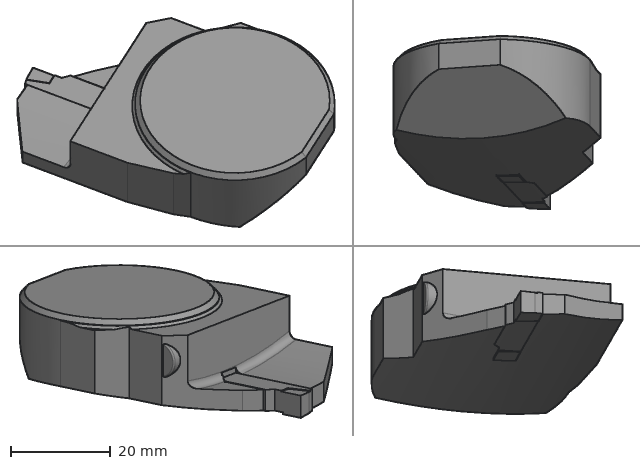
import cadquery as cq
import math

disc_radius = 20.0
disc_flat_x = 19.0
disc_chamfer = 1.0
top_z = 17.95
block_top_z = 16.2
flare_radius = 20.6
flare_top_z = 16.8

front_y = -22.8
nose_x = -44.1
nose_side_y = -9.1
nose_corner_x = -36.15
front_end_x = -12.8
taper_end = (-3.3, -21.2)
corner_x = -8.5
shoulder_y = 15.0
shoulder_x = -21.6
flank_kink = (-33.85, 4.5)

underside_radius = 67.6
rear_cut_z = 11.6
wall_x = -25.5
shelf_z = 4.35
shelf_radius = 87.8
shelf_fillet = 1.55

boss_radius = 3.8
boss_x = -20.65
boss_z = 11.0
boss_end_y = 14.8
boss_length = 5.1
boss_edge_fillet = 0.3

blade_tip_x = -45.1
blade_corner = (-45.0, -2.8)
blade_heel_x = -44.6
blade_end_x = -20.2
blade_right_y = 0.1
blade_left_y = -4.55
blade_top_z = 4.5
blade_tail_z = 5.65
blade_foot_z = -0.4
bulge_start_x = -38.7
bulge_end_x = -25.9
bulge_depth = 1.35
foot_length = 4.5
chip_depth = 0.2
chip_length = 4.8
chip_side_drop = 2.3
chip_nose_drop = 3.6

reach = 76.9


def underside_cylinder():
    """Cylinder along X whose lowest line is the bottom of the housing."""
    return (
        cq.Workplane("YZ", origin=(-reach, 0, 0))
        .center(0, underside_radius)
        .circle(underside_radius)
        .extrude(2 * reach)
    )


def disc_outline():
    """Circle with one flat on the +X side."""
    flat_half = math.sqrt(disc_radius**2 - disc_flat_x**2)
    return (
        cq.Workplane("XY")
        .moveTo(disc_flat_x, -flat_half)
        .lineTo(disc_flat_x, flat_half)
        .threePointArc((-disc_radius, 0), (disc_flat_x, -flat_half))
        .close()
    )


def block_prism(height):
    """Straight-sided housing outline, running from the nose to the disc axis."""
    corner_run = disc_radius - shoulder_y
    nose_run = flank_kink[1] - blade_left_y
    outline = [
        (nose_x, blade_left_y),
        (nose_x, nose_side_y),
        (nose_corner_x, front_y),
        (front_end_x, front_y),
        taper_end,
        (0, -disc_radius),
        (0, disc_radius),
        (corner_x, disc_radius),
        (corner_x - corner_run, shoulder_y),
        (shoulder_x, shoulder_y),
        flank_kink,
        (flank_kink[0] - nose_run, blade_left_y),
    ]
    return cq.Workplane("XY").polyline(outline).close().extrude(height)


def disc():
    """Disc with a 45 degree bevel around its top edge, including the flat."""
    bevel_z = top_z - disc_chamfer
    bevel = disc_outline().extrude(disc_chamfer, taper=45).translate((0, 0, bevel_z))
    return disc_outline().extrude(bevel_z).union(bevel)


def flare():
    """Conical skirt between the disc and the block, trimmed to the block outline."""
    cone = (
        cq.Workplane("XZ")
        .moveTo(0, block_top_z)
        .lineTo(flare_radius, block_top_z)
        .lineTo(disc_radius, flare_top_z)
        .lineTo(0, flare_top_z)
        .close()
        .revolve(360, (0, 0, 0), (0, 1, 0))
    )
    return cone.intersect(block_prism(flare_top_z))


def rear_cut():
    """45 degree wedge removed under the flat side of the disc."""
    return (
        cq.Workplane("XZ", origin=(0, reach / 2, 0))
        .moveTo(disc_flat_x - rear_cut_z, 0)
        .lineTo(disc_flat_x, rear_cut_z)
        .lineTo(disc_flat_x, 0)
        .close()
        .extrude(reach)
    )


def shelf_cut():
    """Space above the dished shelf, rounded where the shelf meets the wall."""
    shelf_edge_z = shelf_z + shelf_radius - math.sqrt(shelf_radius**2 - reach**2 / 4)
    return (
        cq.Workplane("YZ", origin=(wall_x, 0, 0))
        .moveTo(-reach / 2, shelf_edge_z)
        .threePointArc((0, shelf_z), (reach / 2, shelf_edge_z))
        .lineTo(reach / 2, reach)
        .lineTo(-reach / 2, reach)
        .close()
        .extrude(-reach)
        .faces(">X")
        .edges("%CIRCLE")
        .fillet(shelf_fillet)
    )


def screw_boss():
    return (
        cq.Workplane("XZ", origin=(boss_x, boss_end_y, boss_z))
        .circle(boss_radius)
        .extrude(boss_length)
        .faces(">Y")
        .edges()
        .fillet(boss_edge_fillet)
    )


def blade_slot():
    """Slot with the blade's outline, open through the underside."""
    return blade_outline().extrude(blade_tail_z - blade_foot_z)


def make_housing():
    body = block_prism(block_top_z).union(disc()).union(flare())
    body = body.intersect(underside_cylinder()).cut(rear_cut()).cut(shelf_cut())
    return body.union(screw_boss()).cut(blade_slot())


def blade_outline():
    """Blade seen along Z, with the shallow bulge on its +Y side."""
    bulge_y = blade_right_y + bulge_depth
    return cq.Workplane("XY", origin=(0, 0, blade_foot_z)).polyline([
        (blade_tip_x, blade_right_y),
        (bulge_start_x, blade_right_y),
        (bulge_start_x + bulge_depth, bulge_y),
        (bulge_end_x - bulge_depth, bulge_y),
        (bulge_end_x, blade_right_y),
        (blade_end_x, blade_right_y),
        (blade_end_x, blade_left_y),
        (blade_heel_x, blade_left_y),
        blade_corner,
    ]).close()


def blade_side_profile():
    """Blade seen along Y: flat top, stepped up at the shoulder wall."""
    return (
        cq.Workplane("XZ", origin=(0, reach / 2, 0))
        .moveTo(blade_tip_x, blade_foot_z)
        .lineTo(blade_tip_x, blade_top_z)
        .lineTo(wall_x, blade_top_z)
        .lineTo(wall_x, blade_tail_z)
        .lineTo(blade_end_x, blade_tail_z)
        .lineTo(blade_end_x, blade_foot_z)
        .close()
        .extrude(reach)
    )


def foot(start_x):
    """Relief foot below the underside, sloping up from the +Y side of the blade."""
    return (
        cq.Workplane("YZ", origin=(start_x, 0, 0))
        .moveTo(blade_right_y, blade_foot_z)
        .lineTo(blade_right_y, blade_top_z / 2)
        .lineTo(blade_left_y, blade_top_z / 2)
        .lineTo(blade_left_y, 0)
        .close()
        .extrude(foot_length)
    )


def chip_face():
    """Shallow recess in the top of the cutting corner."""
    return (
        cq.Workplane("XY", origin=(0, 0, blade_top_z - chip_depth))
        .moveTo(blade_tip_x, blade_right_y)
        .lineTo(blade_tip_x + chip_length, blade_right_y)
        .lineTo(blade_tip_x + chip_length, blade_right_y - chip_side_drop)
        .lineTo(blade_tip_x, blade_right_y - chip_nose_drop)
        .close()
        .extrude(chip_depth)
    )


def make_blade():
    prism = blade_slot().intersect(blade_side_profile())
    blade = prism.intersect(underside_cylinder())
    for start_x in (blade_tip_x, blade_end_x - foot_length):
        blade = blade.union(foot(start_x).intersect(prism))
    return blade.cut(chip_face())


blade = make_blade()
housing = make_housing()
result = cq.Compound.makeCompound([housing.val(), blade.val()])